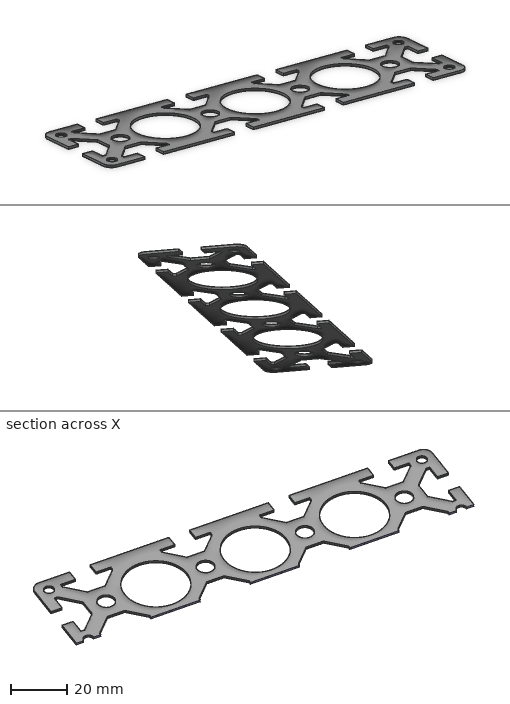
import cadquery as cq

module = 40.0
module_count = 4
length = module * module_count
thickness = 1.0
corner_radius = 3.5

slot_depth = 12.5
mouth_half_width = 4.2
lip_depth = 4.5
shoulder_half_width = 10.0
shoulder_depth = 1.5
floor_half_width = shoulder_half_width - (slot_depth - lip_depth - shoulder_depth)

core_hole_diameter = 6.7
cavity_diameter = 25.0
corner_hole_diameter = 4.0
corner_hole_inset = 5.0

half_width = module / 2
half_length = length / 2
module_centers = [(i - (module_count - 1) / 2) * module for i in range(module_count)]
cavity_centers = [y + module / 2 for y in module_centers[:-1]]


def t_slot(center_y, angle):
    """T-slot opening outward from a module centre; at angle 0 it opens toward +X."""
    lip_x = half_width - lip_depth
    shoulder_x = lip_x - shoulder_depth
    floor_x = half_width - slot_depth
    upper_side = [
        (half_width, mouth_half_width),
        (lip_x, mouth_half_width),
        (lip_x, shoulder_half_width),
        (shoulder_x, shoulder_half_width),
        (floor_x, floor_half_width),
    ]
    lower_side = [(x, -y) for x, y in reversed(upper_side)]
    slot = cq.Workplane("XY").polyline(upper_side + lower_side).close().extrude(thickness)
    return slot.rotate((0, 0, 0), (0, 0, 1), angle).translate((0, center_y, 0))


def round_holes(diameter, centers):
    return cq.Workplane("XY").pushPoints(centers).circle(diameter / 2).extrude(thickness)


plate = cq.Workplane("XY").box(module, length, thickness, centered=(True, True, False))
plate = plate.edges("|Z").fillet(corner_radius)

for center_y in module_centers:
    for angle in (0, 180):
        plate = plate.cut(t_slot(center_y, angle))
plate = plate.cut(t_slot(module_centers[-1], 90))
plate = plate.cut(t_slot(module_centers[0], -90))

corner_x = half_width - corner_hole_inset
corner_y = half_length - corner_hole_inset
corner_points = [(x, y) for x in (-corner_x, corner_x) for y in (-corner_y, corner_y)]
plate = plate.cut(round_holes(core_hole_diameter, [(0, y) for y in module_centers]))
plate = plate.cut(round_holes(cavity_diameter, [(0, y) for y in cavity_centers]))
plate = plate.cut(round_holes(corner_hole_diameter, corner_points))

result = plate